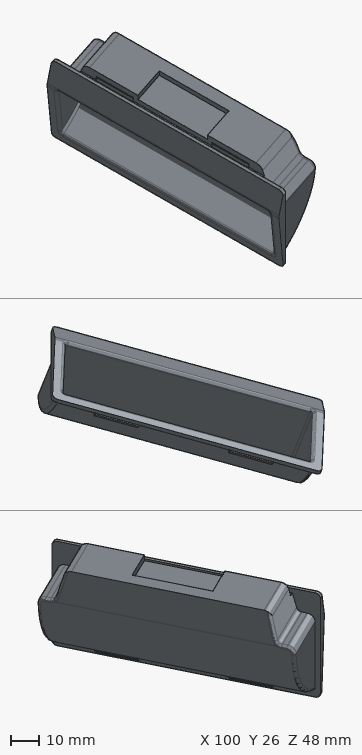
import cadquery as cq
import math

bezel_width = 100.0
bezel_height = 45.0
bezel_corner_radius = 2.0
bezel_top_thickness = 1.3
bezel_bottom_thickness = 1.4
ridge_height = 33.4
ridge_thickness = 4.25
ridge_radius = 4.5

housing_depth = 21.8
housing_width = 96.0
housing_top = 48.0
shoulder_height = 35.6
shoulder_radius = 3.0
neck_top_width = 76.4
neck_draft_angle = 15.0
neck_top_radius = 3.0
neck_foot_radius = 2.0

back_joint_height = 35.0
lower_back_radius = 34.5
upper_back_radius = 44.0
lower_back_center_y = housing_depth - lower_back_radius
back_edge_radius = 1.2

gap_depth = 1.75
gap_bottom = 43.0

notch_width = 30.0
notch_length = 13.0
notch_depth = 2.5

recess_width = 91.7
recess_top = 32.7
back_wall = 2.0
recess_back_radius = lower_back_radius - back_wall
recess_overcut = 1.0
recess_front = -ridge_thickness - recess_overcut
recess_inner_radius = 0.9
rim_radius = 1.25

clip_center = 24.9
clip_width = 16.0
pad_top = 45.1
pad_thickness = 0.35
hook_tip = 1.8
hook_length = 1.75
hook_embed = 0.8


def extrude_along_x(profile, width):
    """Extrude a (Y, Z) profile symmetrically about X = 0."""
    return profile.extrude(width / 2, both=True)


def box_from(width, y_start, y_end, z_start, z_end):
    """Box centred on X = 0 that spans the given Y and Z ranges."""
    profile = cq.Workplane("YZ").moveTo(y_start, z_start).lineTo(y_end, z_start)
    profile = profile.lineTo(y_end, z_end).lineTo(y_start, z_end).close()
    return extrude_along_x(profile, width)


def arc_depth(radius, deepest_y, z):
    """Y at height z on a back arc whose deepest point is at the joint height."""
    return deepest_y - radius + math.sqrt(radius**2 - (z - back_joint_height) ** 2)


def arc_bottom(radius, y):
    """Height at depth y on an arc around the centre of the lower back arc."""
    return back_joint_height - math.sqrt(radius**2 - (y - lower_back_center_y) ** 2)


def make_bezel():
    corners = [
        (0, 0),
        (-bezel_bottom_thickness, 0),
        (-ridge_thickness, ridge_height),
        (-bezel_top_thickness, bezel_height),
        (0, bezel_height),
    ]
    wedge = extrude_along_x(cq.Workplane("YZ").polyline(corners).close(), bezel_width)
    wedge = wedge.edges("|X").edges("<Y").fillet(ridge_radius)
    corner_edges = wedge.faces("<X or >X").edges("<Z or >Z")
    return corner_edges.fillet(bezel_corner_radius)


def make_stepped_block():
    """Housing outline with rounded shoulders, extruded through its depth."""
    half = housing_width / 2
    neck_half = neck_top_width / 2
    neck_slope = math.tan(math.radians(neck_draft_angle))
    foot_half = neck_half + (housing_top - shoulder_height) * neck_slope
    right_side = [
        (half, 0),
        (half, shoulder_height),
        (foot_half, shoulder_height),
        (neck_half, housing_top),
    ]
    left_side = [(-x, z) for x, z in reversed(right_side)]
    block = cq.Workplane("XZ").polyline(right_side + left_side).close().extrude(-housing_depth)
    roundings = [(foot_half, neck_foot_radius), (half, shoulder_radius)]
    for side in (-1, 1):
        for x, radius in roundings:
            edge_middle = (side * x, housing_depth / 2, shoulder_height)
            edge = cq.selectors.NearestToPointSelector(edge_middle)
            block = block.edges(edge).fillet(radius)
    return block


def round_back_edges(body):
    """Round the edges between the curved back and the side walls."""
    long_span = neck_top_width / 2
    cylinders = body.faces("%CYLINDER").vals()
    back_faces = [face for face in cylinders if face.BoundingBox().xlen > long_span]
    edges = [edge for face in back_faces for edge in face.Edges() if edge.BoundingBox().xlen < long_span]
    return body.newObject([body.val().fillet(back_edge_radius, edges)])


def make_housing():
    block = make_stepped_block()
    top_y = arc_depth(upper_back_radius, housing_depth, housing_top)
    side_profile = (
        cq.Workplane("YZ")
        .moveTo(0, arc_bottom(lower_back_radius, 0))
        .radiusArc((housing_depth, back_joint_height), -lower_back_radius)
        .radiusArc((top_y, housing_top), -upper_back_radius)
        .lineTo(gap_depth, housing_top)
        .lineTo(gap_depth, gap_bottom)
        .lineTo(0, gap_bottom)
        .close()
    )
    body = round_back_edges(block.intersect(extrude_along_x(side_profile, housing_width)))
    rounded_block = block.edges("|Y").edges(">Z").fillet(neck_top_radius)
    return body.intersect(rounded_block)


def make_recess():
    deepest_y = housing_depth - back_wall
    top_y = arc_depth(recess_back_radius, deepest_y, recess_top)
    profile = (
        cq.Workplane("YZ")
        .moveTo(recess_front, arc_bottom(recess_back_radius, recess_front))
        .radiusArc((top_y, recess_top), -recess_back_radius)
        .lineTo(recess_front, recess_top)
        .close()
    )
    recess = extrude_along_x(profile, recess_width)
    return recess.faces("<X or >X").edges("not(<Y)").fillet(recess_inner_radius)


def round_rim(body):
    """Round the edges where the recess breaks through the front of the bezel."""
    margin = 0.5
    box = cq.selectors.BoxSelector(
        (-recess_width / 2 - margin, recess_front, arc_bottom(recess_back_radius, 0) - margin),
        (recess_width / 2 + margin, -margin, recess_top + margin),
        boundingbox=True,
    )
    return body.edges(box).fillet(rim_radius)


def make_notch():
    return box_from(notch_width, gap_depth, gap_depth + notch_length, housing_top - notch_depth, housing_top)


def make_pad():
    return box_from(clip_width, gap_depth - pad_thickness, gap_depth, gap_bottom, pad_top)


def make_hook():
    """Wedge with a 45 degree lead-in, set slightly into the curved back."""
    hook_back = gap_depth + hook_length
    corners = [
        (gap_depth, hook_tip),
        (hook_back, hook_tip + hook_length),
        (hook_back, arc_bottom(lower_back_radius, hook_back) + hook_embed),
        (gap_depth, arc_bottom(lower_back_radius, gap_depth) + hook_embed),
    ]
    return extrude_along_x(cq.Workplane("YZ").polyline(corners).close(), clip_width)


shell = make_housing().union(make_bezel()).cut(make_recess())
result = round_rim(shell).cut(make_notch())
for clip_x in (-clip_center, clip_center):
    result = result.union(make_pad().translate((clip_x, 0, 0)))
    result = result.union(make_hook().translate((clip_x, 0, 0)))